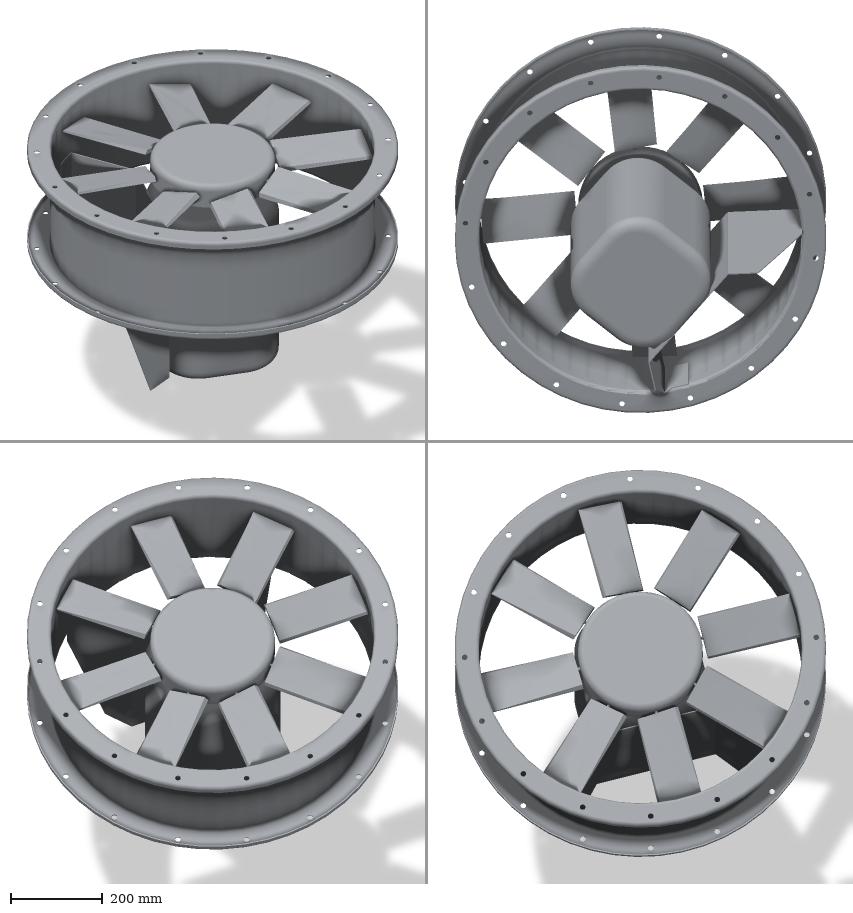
import cadquery as cq
import math

flange_radius = 405.0
bore_radius = 352.0
housing_height = 249.5
sheet = 2.5
bend = 7.0
lip_height = 16.0
bolt_count = 16
bolt_circle_radius = 384.0
bolt_diameter = 12.0

motor_bottom = -270.5
motor_top = 130.0
motor_half_width = 134.5
motor_corner_radius = 91.0
motor_rim_fillet = 27.0

hub_radius = 136.0
hub_bottom = 174.0
hub_top = 228.5
hub_fillet = 14.0
hub_middle = (hub_bottom + hub_top) / 2
shaft_radius = 24.0
spigot_radius = 3.0
blade_count = 8
blade_root = 141.0
blade_tip = 348.0
root_thickness = 10.5
tip_thickness = 4.0
blade_drop = 6.0
root_pitch = 15.0
tip_pitch = 9.0
root_top_face = (40.5, 42.0)
root_bottom_face = (49.0, 44.0)
tip_top_face = (49.0, 44.0)
tip_bottom_face = (49.0, 49.0)

bracket_top = 128.0
bracket_bottom = -243.0
wing_bottom_length = 66.5
wing_slant_top = -24.0
left_wing_angle = 47.6
right_wing_angle = 51.9
tab_width = 54.0
tab_bevel_width = 18.0


def make_housing():
    mid = housing_height / 2
    inner_bend = bend - sheet
    r_in = bore_radius + bend
    r_out = flange_radius - bend
    z_bend = housing_height - bend
    diag = math.sqrt(0.5)
    upper_half = (
        cq.Workplane("XZ")
        .moveTo(bore_radius, mid)
        .lineTo(bore_radius, z_bend)
        .threePointArc((r_in - bend * diag, z_bend + bend * diag), (r_in, housing_height))
        .lineTo(r_out, housing_height)
        .threePointArc((r_out + bend * diag, z_bend + bend * diag), (flange_radius, z_bend))
        .lineTo(flange_radius, housing_height - lip_height)
        .lineTo(flange_radius - sheet, housing_height - lip_height)
        .lineTo(flange_radius - sheet, z_bend)
        .threePointArc(
            (r_out + inner_bend * diag, z_bend + inner_bend * diag), (r_out, housing_height - sheet)
        )
        .lineTo(r_in, housing_height - sheet)
        .threePointArc(
            (r_in - inner_bend * diag, z_bend + inner_bend * diag), (bore_radius + sheet, z_bend)
        )
        .lineTo(bore_radius + sheet, mid)
        .close()
        .revolve(360, (0, 0, 0), (0, 1, 0))
    )
    lower_half = upper_half.mirror("XY", (0, 0, mid))
    bolt_holes = (
        cq.Workplane("XY")
        .polarArray(bolt_circle_radius, 180 / bolt_count, 360, bolt_count)
        .circle(bolt_diameter / 2)
        .extrude(housing_height)
    )
    return upper_half.union(lower_half).cut(bolt_holes)


def make_motor():
    width = 2 * motor_half_width
    return (
        cq.Workplane("XY")
        .workplane(offset=motor_bottom)
        .rect(width, width)
        .extrude(motor_top - motor_bottom)
        .edges("|Z")
        .fillet(motor_corner_radius)
        .faces("<Z or >Z")
        .edges()
        .fillet(motor_rim_fillet)
    )


def make_hub():
    hub = (
        cq.Workplane("XY")
        .workplane(offset=hub_bottom)
        .circle(hub_radius)
        .extrude(hub_top - hub_bottom)
        .faces(">Z")
        .edges()
        .fillet(hub_fillet)
    )
    shaft = (
        cq.Workplane("XY")
        .workplane(offset=motor_top)
        .circle(shaft_radius)
        .extrude(hub_bottom - motor_top)
    )
    return hub.union(shaft)


def blade_section(pitch, thickness, top_face, bottom_face):
    """Corners of a pitched blade section; the -X edge is the raised one."""
    slope = math.tan(math.radians(pitch))
    bottom = -blade_drop
    top = bottom + thickness
    corners = [
        (-top_face[0], top),
        (top_face[1], top),
        (bottom_face[1], bottom),
        (-bottom_face[0], bottom),
    ]
    return [(x, z - x * slope) for x, z in corners]


def make_blade():
    """One blade along +Y with the spigot that holds it in the hub."""
    start = cq.Workplane("XZ", origin=(0, blade_root, hub_middle))
    blade = (
        start.polyline(blade_section(root_pitch, root_thickness, root_top_face, root_bottom_face))
        .close()
        .workplane(offset=blade_root - blade_tip)
        .polyline(blade_section(tip_pitch, tip_thickness, tip_top_face, tip_bottom_face))
        .close()
        .loft(ruled=True)
    )
    overlap = 8.0
    spigot = (
        cq.Workplane("XZ", origin=(0, blade_root + overlap, hub_middle))
        .circle(spigot_radius)
        .extrude(blade_root - hub_radius + 2 * overlap)
    )
    return blade.union(spigot)


def make_wing(angle):
    """Wing at the (+X, -Y) motor corner, with its tab lying on the bore."""
    corner_x = motor_half_width
    corner_y = -(motor_half_width + sheet / 2)
    heading = math.radians(-angle)
    plate_end_radius = bore_radius - sheet / 2
    along = corner_x * math.cos(heading) + corner_y * math.sin(heading)
    reach = math.sqrt(along**2 + plate_end_radius**2 - corner_x**2 - corner_y**2) - along
    direction = cq.Vector(math.cos(heading), math.sin(heading), 0)
    side = cq.Vector(math.sin(heading), -math.cos(heading), 0)
    wing = (
        cq.Workplane(cq.Plane((corner_x, corner_y, 0), direction, side))
        .polyline(
            [
                (0, bracket_bottom),
                (wing_bottom_length, bracket_bottom),
                (reach, wing_slant_top),
                (reach, bracket_top),
                (0, bracket_top),
            ]
        )
        .close()
        .extrude(sheet / 2, both=True)
    )

    end_x = corner_x + reach * direction.x
    end_y = corner_y + reach * direction.y
    outward = cq.Vector(end_x, end_y, 0).normalized()
    sideways = cq.Vector(outward.y, -outward.x, 0)
    tab_blank = (
        cq.Workplane(cq.Plane((0, 0, 0), sideways, -outward))
        .polyline(
            [
                (-sheet / 2, wing_slant_top),
                (tab_bevel_width, 0),
                (tab_width, 0),
                (tab_width, bracket_top),
                (-sheet / 2, bracket_top),
            ]
        )
        .close()
        .extrude(-flange_radius)
    )
    bore_skin = (
        cq.Workplane("XY")
        .workplane(offset=wing_slant_top)
        .circle(bore_radius)
        .circle(bore_radius - sheet)
        .extrude(bracket_top - wing_slant_top)
    )
    return wing.union(tab_blank.intersect(bore_skin))


def make_bracket():
    front_sheet = cq.Workplane("XY").box(
        2 * motor_half_width, sheet, bracket_top - bracket_bottom, centered=(True, False, False)
    ).translate((0, -motor_half_width - sheet, bracket_bottom))
    left_wing = make_wing(left_wing_angle).mirror("YZ")
    return front_sheet.union(left_wing).union(make_wing(right_wing_angle))


result = make_housing().union(make_bracket()).union(make_motor()).union(make_hub())
blade = make_blade()
for i in range(blade_count):
    result = result.union(blade.rotate((0, 0, 0), (0, 0, 1), i * 360 / blade_count))